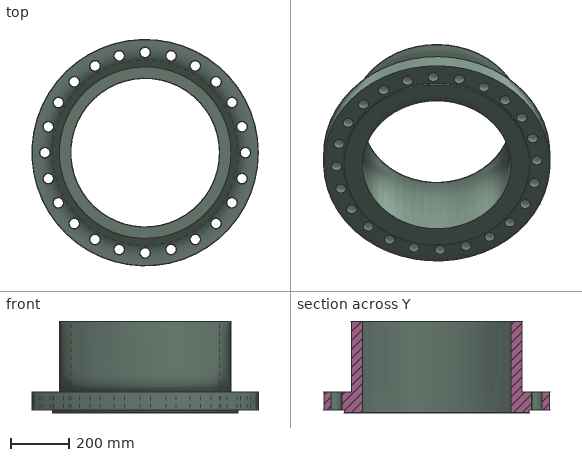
import cadquery as cq

flange_diameter = 774.7
flange_thickness = 62.0

face_diameter = 635.0
face_height = 9.53

neck_diameter = 587.0
bore_diameter = 508.0
overall_height = 312.74

bolt_circle_diameter = 685.8
bolt_hole_diameter = 35.0
bolt_count = 24

flange_bottom = face_height
flange_top = flange_bottom + flange_thickness
neck_height = overall_height - flange_top


def disc(diameter, bottom, height):
    """Solid disc on the Z axis, standing on the plane z = bottom."""
    return cq.Workplane("XY").workplane(offset=bottom).circle(diameter / 2).extrude(height)


def bolt_holes():
    """Cutters for the ring of bolt holes, the first one on the +X axis."""
    return (
        cq.Workplane("XY")
        .workplane(offset=flange_bottom)
        .polarArray(bolt_circle_diameter / 2, 0, 360, bolt_count)
        .circle(bolt_hole_diameter / 2)
        .extrude(flange_thickness)
    )


raised_face = disc(face_diameter, 0, face_height)
flange = disc(flange_diameter, flange_bottom, flange_thickness)
neck = disc(neck_diameter, flange_top, neck_height)
bore = disc(bore_diameter, 0, overall_height)

result = raised_face.union(flange).union(neck).cut(bore).cut(bolt_holes())